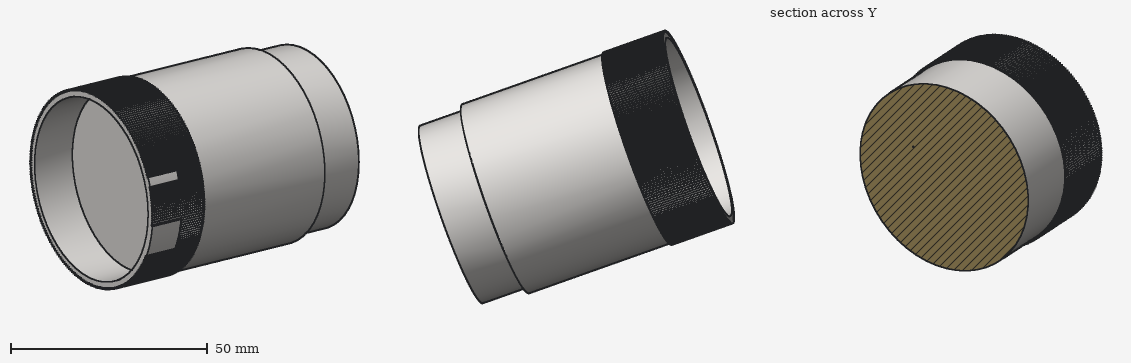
import cadquery as cq
import math

total_length = 67.0
knurl_length = 16.5
spigot_length = 12.0
bore_depth = spigot_length

tip_radius = 26.0
body_radius = 25.5
spigot_radius = 24.0
bore_clearance = 0.1
bore_radius = spigot_radius + bore_clearance

tooth_count = 240
tooth_pitch = 360 / tooth_count
first_tooth_angle = -tooth_pitch / 3
root_radius = 25.6

pad_angles = [(-26.0, -6.0), (17.0, 22.5)]
pad_length = 9.25

front_y = -total_length / 2
back_y = total_length / 2


def polar(radius, degrees):
    """Point at a radius and an angle from +X towards +Z."""
    angle = math.radians(degrees)
    return (radius * math.cos(angle), radius * math.sin(angle))


def section_plane(y):
    """Plane across the axis at y, with local axes along X and Z; its normal points to -Y."""
    return cq.Workplane("XZ", origin=(0, y, 0))


def cylinder(radius, y_start, y_end):
    return section_plane(y_end).circle(radius).extrude(y_end - y_start)


def knurled_ring():
    outline = []
    for tooth in range(tooth_count):
        angle = first_tooth_angle + tooth * tooth_pitch
        outline.append(polar(tip_radius, angle))
        outline.append(polar(root_radius, angle + tooth_pitch / 2))
    return section_plane(front_y + knurl_length).polyline(outline).close().extrude(knurl_length)


def smooth_pad(start, end):
    """Arc-shaped block reaching the tooth tips, from the open end backwards."""
    middle = (start + end) / 2
    return (
        section_plane(front_y + pad_length)
        .moveTo(*polar(bore_radius, start))
        .lineTo(*polar(tip_radius, start))
        .threePointArc(polar(tip_radius, middle), polar(tip_radius, end))
        .lineTo(*polar(bore_radius, end))
        .threePointArc(polar(bore_radius, middle), polar(bore_radius, start))
        .close()
        .extrude(pad_length)
    )


body = cylinder(body_radius, front_y + knurl_length, back_y - spigot_length)
spigot = cylinder(spigot_radius, back_y - spigot_length, back_y)
bore = cylinder(bore_radius, front_y, front_y + bore_depth)

result = knurled_ring().union(body).union(spigot)
for start, end in pad_angles:
    result = result.union(smooth_pad(start, end))
result = result.cut(bore)